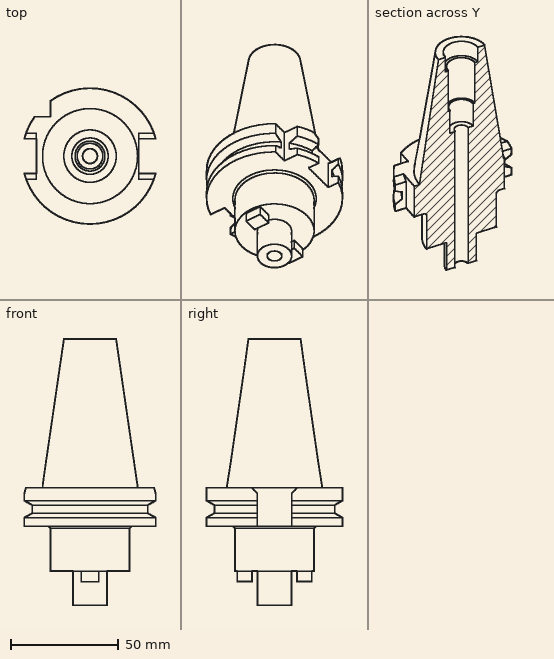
import cadquery as cq
import math


gauge_diameter = 44.45
taper_length = 68.4
taper_ratio = 7 / 24
taper_top_diameter = gauge_diameter - taper_length * taper_ratio

flange_diameter = 63.55
flange_top_z = -1.0
flange_bottom_z = -19.1
groove_center_z = -11.1
groove_diameter = 56.4
groove_floor_width = 3.75
groove_wall_angle = 60

hub_diameter = 37.0
hub_bottom_z = -40.0
hub_chamfer = 1.0
spigot_diameter = 16.0
spigot_length = 16.0
spigot_bottom_z = hub_bottom_z - spigot_length
key_width = 8.0
key_height = 5.0
key_inner_y = 10.5
key_outer_y = 17.5

slot_width = 16.1
slot_chamfer = 2.7
left_slot_floor = 25.0
right_slot_floor = 22.8

notch_offset = 18.5

pilot_bore = (17.0, 8.4)
thread_bore = (14.0, 32.0)
relief_bore = (12.0, 45.0)
through_diameter = 6.8


def make_body():
    """Revolve the taper, grooved flange, hub and spigot as one profile."""
    gauge_radius = gauge_diameter / 2
    flange_radius = flange_diameter / 2
    groove_radius = groove_diameter / 2
    hub_radius = hub_diameter / 2
    spigot_radius = spigot_diameter / 2
    floor_half = groove_floor_width / 2
    wall_rise = (flange_radius - groove_radius) / math.tan(math.radians(groove_wall_angle))
    mouth_half = floor_half + wall_rise
    outline = [
        (0, taper_length),
        (taper_top_diameter / 2, taper_length),
        (gauge_radius, 0),
        (gauge_radius, flange_top_z),
        (flange_radius, flange_top_z),
        (flange_radius, groove_center_z + mouth_half),
        (groove_radius, groove_center_z + floor_half),
        (groove_radius, groove_center_z - floor_half),
        (flange_radius, groove_center_z - mouth_half),
        (flange_radius, flange_bottom_z),
        (hub_radius + hub_chamfer, flange_bottom_z),
        (hub_radius, flange_bottom_z - hub_chamfer),
        (hub_radius, hub_bottom_z),
        (spigot_radius, hub_bottom_z),
        (spigot_radius, spigot_bottom_z),
        (0, spigot_bottom_z),
    ]
    return cq.Workplane("XZ").polyline(outline).close().revolve(360, (0, 0), (0, 1))


def make_slot(floor_distance, side):
    """Drive slot cutter with chamfered upper edges; side is -1 or +1 along X."""
    half_width = slot_width / 2
    mouth_half = half_width + slot_chamfer
    section = [
        (-half_width, flange_bottom_z),
        (half_width, flange_bottom_z),
        (half_width, flange_top_z - slot_chamfer),
        (mouth_half, flange_top_z),
        (-mouth_half, flange_top_z),
        (-half_width, flange_top_z - slot_chamfer),
    ]
    return (
        cq.Workplane("YZ", origin=(side * floor_distance, 0, 0))
        .polyline(section)
        .close()
        .extrude(side * flange_diameter / 2)
    )


def make_notch():
    """Square cutter that removes the flange beyond the notch corner."""
    size = flange_diameter / 2
    height = flange_top_z - flange_bottom_z
    return cq.Workplane("XY").box(size, size, height, centered=False).translate(
        (-notch_offset - size, notch_offset, flange_bottom_z)
    )


def make_key(side):
    """Drive key under the hub; side is -1 or +1 along Y."""
    center_y = side * (key_inner_y + key_outer_y) / 2
    return (
        cq.Workplane("XY", origin=(0, center_y, hub_bottom_z))
        .rect(key_width, key_outer_y - key_inner_y)
        .extrude(-key_height)
    )


def make_bore(diameter, depth):
    """Cylindrical cutter reaching down from the taper's small end."""
    return cq.Workplane("XY", origin=(0, 0, taper_length)).circle(diameter / 2).extrude(-depth)


result = make_body()
result = result.cut(make_slot(left_slot_floor, -1))
result = result.cut(make_slot(right_slot_floor, 1))
result = result.cut(make_notch())
for key_side in (-1, 1):
    result = result.union(make_key(key_side))
for bore_diameter, bore_depth in (pilot_bore, thread_bore, relief_bore):
    result = result.cut(make_bore(bore_diameter, bore_depth))
result = result.cut(make_bore(through_diameter, taper_length - spigot_bottom_z))